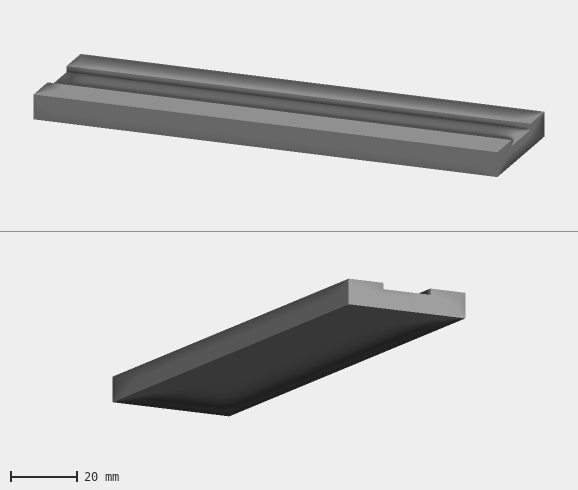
import cadquery as cq

length = 150.0
width = 40.0
thickness = 8.0

groove_width = 16.0
groove_depth = 2.0

plate = cq.Workplane("XY").box(length, width, thickness, centered=(True, True, False))

groove = (
    cq.Workplane("XY")
    .workplane(offset=thickness - groove_depth)
    .box(length, groove_width, groove_depth, centered=(True, True, False))
)

result = plate.cut(groove)